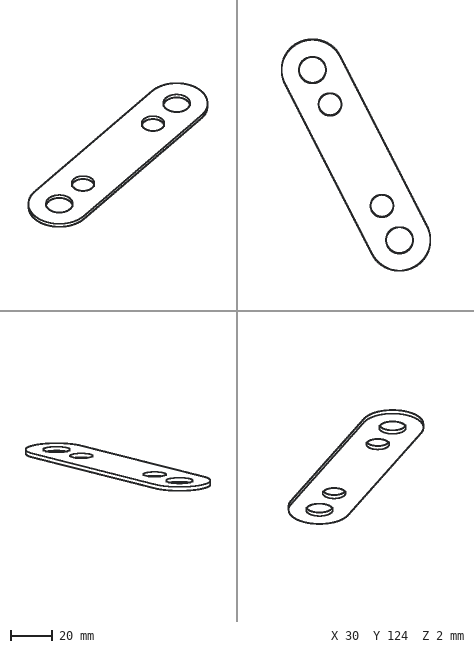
import cadquery as cq

length = 124.0
width = 30.0
thickness = 2.0
end_hole_diameter = 13.0
inner_hole_diameter = 11.0
inner_hole_spacing = 56.0

end_hole_spacing = length - width


def cut_hole_pair(plate, spacing, diameter):
    """Cut two through holes on the long centreline, symmetric about the middle."""
    centres = [(0, -spacing / 2), (0, spacing / 2)]
    return plate.faces(">Z").workplane(origin=(0, 0, 0)).pushPoints(centres).hole(diameter)


link = cq.Workplane("XY").slot2D(length, width, angle=90).extrude(thickness)
link = cut_hole_pair(link, end_hole_spacing, end_hole_diameter)
link = cut_hole_pair(link, inner_hole_spacing, inner_hole_diameter)

result = link